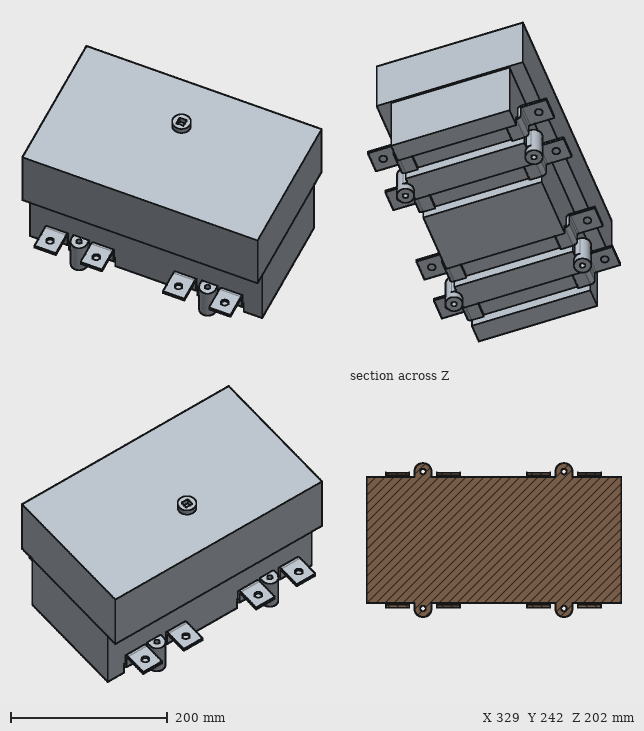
import cadquery as cq

cover_length = 329.0
cover_width = 198.7
cover_bottom = 106.0
cover_top = 193.8

base_length = 324.7
base_width = 161.0
base_bottom = 11.5
base_face = base_width / 2

fittings_x = -0.5

foot_diameter = 22.0
foot_hole_diameter = 7.0
foot_top = 45.5
foot_spacing = 179.5
foot_y = 87.2

terminal_pitch = 64.5
terminal_width = 30.0
terminal_thickness = 4.0
terminal_tip_y = 121.0
terminal_top = 51.3
terminal_bottom = 24.0
terminal_standoff = 2.0
terminal_inset = 16.5
inner_bend_radius = 2.0
outer_bend_radius = inner_bend_radius + terminal_thickness
terminal_hole_diameter = 10.0
terminal_hole_depth = 3.5
terminal_hole_y = 105.5
slot_roof = terminal_bottom + terminal_thickness

shaft_diameter = 24.0
shaft_top = 202.0
shaft_y = 31.0
socket_side = 10.0

foot_xs = [fittings_x - foot_spacing / 2, fittings_x + foot_spacing / 2]
foot_places = [(x, y) for x in foot_xs for y in (-foot_y, foot_y)]
terminal_xs = [
    foot_x + offset
    for foot_x in foot_xs
    for offset in (-terminal_pitch / 2, terminal_pitch / 2)
]


def block(length, width, bottom, top):
    """Upright box centred on the Z axis."""
    return cq.Workplane("XY").workplane(offset=bottom).rect(length, width).extrude(top - bottom)


def make_foot(x, y):
    """Round post with a web of the same width that joins it to the base wall."""
    post = cq.Workplane("XY").center(x, y).circle(foot_diameter / 2).extrude(foot_top)
    side = 1 if y > 0 else -1
    web_length = foot_y - base_face
    web = (
        cq.Workplane("XY")
        .workplane(offset=base_bottom)
        .center(x, side * (base_face + web_length / 2))
        .rect(foot_diameter, web_length)
        .extrude(foot_top - base_bottom)
    )
    return post.union(web)


def make_housing():
    """Cover, base and feet in one piece, with terminal slots across the underside."""
    housing = block(cover_length, cover_width, cover_bottom, cover_top)
    housing = housing.union(block(base_length, base_width, base_bottom, cover_bottom))
    for x, y in foot_places:
        housing = housing.union(make_foot(x, y))
    foot_holes = (
        cq.Workplane("XY").pushPoints(foot_places).circle(foot_hole_diameter / 2).extrude(foot_top)
    )
    slots = (
        cq.Workplane("XY")
        .workplane(offset=base_bottom)
        .pushPoints([(x, 0) for x in terminal_xs])
        .rect(terminal_width, base_width)
        .extrude(slot_roof - base_bottom)
    )
    return housing.cut(foot_holes).cut(slots)


def make_terminal(x):
    """Strip on the +Y side: tab with a blind hole, upright, and a leg under the slot roof."""
    upright_inner = base_face + terminal_standoff
    upright_outer = upright_inner + terminal_thickness
    tab_bottom = terminal_top - terminal_thickness
    leg_end = base_face - terminal_inset
    strip = (
        cq.Workplane("YZ")
        .workplane(offset=x - terminal_width / 2)
        .moveTo(terminal_tip_y, terminal_top)
        .lineTo(upright_inner + outer_bend_radius, terminal_top)
        .radiusArc((upright_inner, terminal_top - outer_bend_radius), -outer_bend_radius)
        .lineTo(upright_inner, slot_roof + inner_bend_radius)
        .radiusArc((upright_inner - inner_bend_radius, slot_roof), inner_bend_radius)
        .lineTo(leg_end, slot_roof)
        .lineTo(leg_end, terminal_bottom)
        .lineTo(upright_outer - outer_bend_radius, terminal_bottom)
        .radiusArc((upright_outer, terminal_bottom + outer_bend_radius), -outer_bend_radius)
        .lineTo(upright_outer, tab_bottom - inner_bend_radius)
        .radiusArc((upright_outer + inner_bend_radius, tab_bottom), inner_bend_radius)
        .lineTo(terminal_tip_y, tab_bottom)
        .close()
        .extrude(terminal_width)
    )
    hole = (
        cq.Workplane("XY")
        .workplane(offset=terminal_top - terminal_hole_depth)
        .center(x, terminal_hole_y)
        .circle(terminal_hole_diameter / 2)
        .extrude(terminal_hole_depth)
    )
    return strip.cut(hole)


def make_shaft():
    """Round shaft end standing on the cover, with a square socket through it."""
    return (
        cq.Workplane("XY")
        .workplane(offset=cover_top)
        .center(fittings_x, shaft_y)
        .circle(shaft_diameter / 2)
        .rect(socket_side, socket_side)
        .extrude(shaft_top - cover_top)
    )


housing = make_housing()
shaft = make_shaft()
terminals = []
for terminal_x in terminal_xs:
    terminal = make_terminal(terminal_x)
    terminals.append(terminal.val())
    terminals.append(terminal.mirror("XZ").val())

result = cq.Compound.makeCompound([housing.val(), shaft.val(), *terminals])